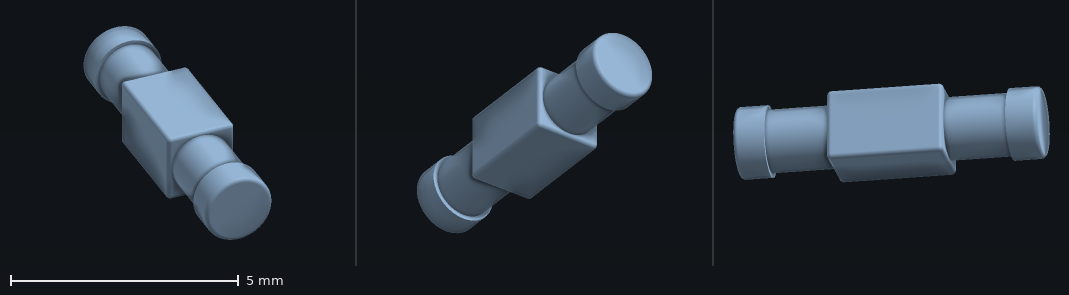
import cadquery as cq

total_length = 6.8
width = 1.6

block_length = 2.6

lead_diameter = 1.4

cap_length = 0.7
cap_diameter = width

edge_radius = 0.1


def make_block():
    """Square block with every edge rounded."""
    return cq.Workplane("XY").box(block_length, width, width).edges().fillet(edge_radius)


def make_lead():
    """Round bar through the block, reaching the inner face of each cap."""
    lead_length = total_length - 2 * cap_length
    return cq.Workplane("YZ").circle(lead_diameter / 2).extrude(lead_length / 2, both=True)


def make_cap(side):
    """End cap with a rounded outer rim; side is +1 or -1 along X."""
    inner_face_x = side * (total_length / 2 - cap_length)
    outer_face = ">X" if side > 0 else "<X"
    return (
        cq.Workplane("YZ", origin=(inner_face_x, 0, 0))
        .circle(cap_diameter / 2)
        .extrude(side * cap_length)
        .faces(outer_face)
        .edges()
        .fillet(edge_radius)
    )


result = make_block().union(make_lead())
for side in (-1, 1):
    result = result.union(make_cap(side))